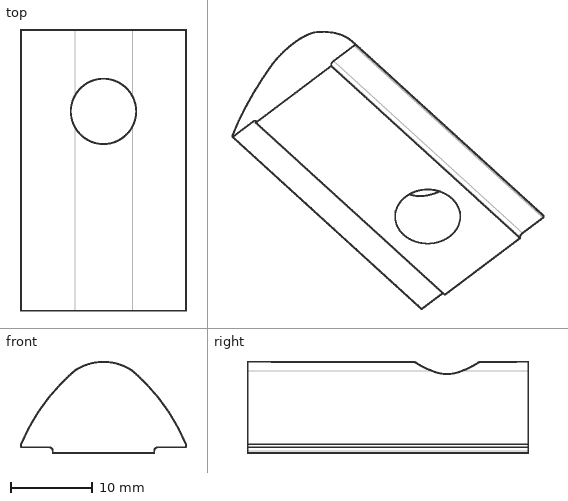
import cadquery as cq
import math

length = 34.5
width = 20.3
height = 11.2

crown_width = 7.1
crown_drop = 1.1
flank_radius = 24.15
side_top = 1.07
foot_width = 12.5
foot_height = 0.7
foot_fillet = 0.4
side_edge_radius = 0.1

hole_diameter = 8.0
hole_from_back = 10.0


def bulge_point(start, end, radius):
    """Midpoint of the shallow arc that bulges to the left of start-to-end."""
    dx = end[0] - start[0]
    dz = end[1] - start[1]
    chord = math.hypot(dx, dz)
    sagitta = radius - math.sqrt(radius**2 - (chord / 2) ** 2)
    mid_x = (start[0] + end[0]) / 2
    mid_z = (start[1] + end[1]) / 2
    return (mid_x - sagitta * dz / chord, mid_z + sagitta * dx / chord)


def make_body():
    """Domed bar along Y, resting on a narrow foot at Z = 0."""
    side = width / 2
    foot = foot_width / 2
    crown_left = (-crown_width / 2, height - crown_drop)
    crown_right = (crown_width / 2, height - crown_drop)
    side_left = (-side, side_top)
    side_right = (side, side_top)
    profile = (
        cq.Workplane("XZ")
        .moveTo(-foot, 0)
        .lineTo(-foot, foot_height)
        .lineTo(-side, foot_height)
        .lineTo(*side_left)
        .threePointArc(bulge_point(side_left, crown_left, flank_radius), crown_left)
        .threePointArc((0, height), crown_right)
        .threePointArc(bulge_point(crown_right, side_right, flank_radius), side_right)
        .lineTo(side, foot_height)
        .lineTo(foot, foot_height)
        .lineTo(foot, 0)
        .close()
    )
    body = profile.extrude(length / 2, both=True)
    for x, radius in (
        (-foot, foot_fillet),
        (foot, foot_fillet),
        (-side, side_edge_radius),
        (side, side_edge_radius),
    ):
        corner = cq.selectors.NearestToPointSelector((x, 0, foot_height))
        body = body.edges("|Y").edges(corner).fillet(radius)
    return body


def make_hole():
    """Cutter for the vertical hole, placed towards the back (+Y) end."""
    return (
        cq.Workplane("XY")
        .center(0, length / 2 - hole_from_back)
        .circle(hole_diameter / 2)
        .extrude(height)
    )


result = make_body().cut(make_hole())